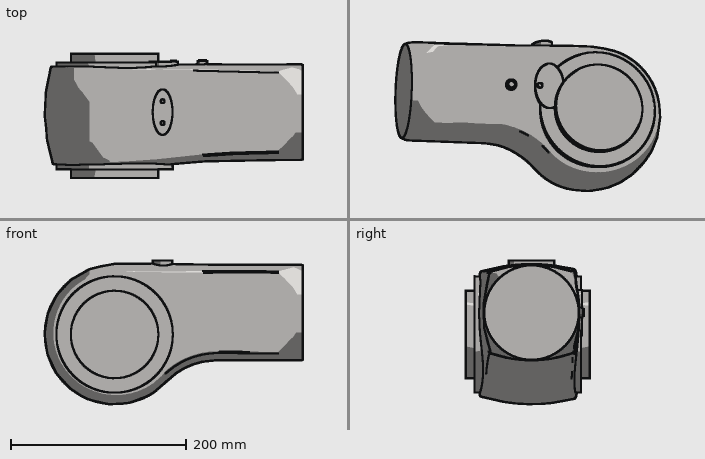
import cadquery as cq
import math

JOINT_RADIUS = 80.0
FLANGE_RADIUS = 66.5
FLANGE_HALF_LENGTH = 61.0
SPIGOT_RADIUS = 50.0
SPIGOT_HALF_LENGTH = 71.0

ARM_END_X = 215.0
ARM_AXIS_Y = 4.3
ARM_AXIS_Z = 25.0
ARM_HALF_HEIGHT = 54.6
END_RADIUS = 53.9
END_OVERRUN = 5.0
END_CONE_SLOPE = 0.41
TOP_CROWN = ((0.0, 1.2), (35.0, 1.7), (110.0, 0.3))
TOP_SEAM_X = -28.6
THROAT_RADIUS = 80.0

CROWN_HALF_WIDTH = 64.0
DRUM_CROWN_DROP = 11.0
ARM_CROWN_DROP = 15.5
CROWN_STEPS = (-1.0, -0.5, 0.0, 0.5, 1.0)

SIDE_STATIONS = (
    (-90.0, 0.0, 70.0, -55.9, 0.4, 56.5, 0.3),
    (-55.0, 0.0, 70.0, -55.9, 0.4, 56.5, 0.3),
    (-20.0, 0.0, 70.0, -55.9, 0.6, 56.6, 0.8),
    (20.0, 5.0, 66.0, -56.0, 2.2, 57.3, 3.2),
    (60.0, 18.0, 53.0, -55.6, 5.4, 58.4, 4.6),
    (100.0, 25.0, 46.0, -52.5, 6.7, 59.0, 5.8),
    (140.0, 25.0, 46.0, -50.8, 7.7, 59.0, 7.0),
    (180.0, 25.0, 46.0, -50.9, 9.0, 59.0, 8.3),
    (ARM_END_X + END_OVERRUN, 25.0, 46.0, -52.2, 9.2, 59.0, 8.6),
)
WALL_OVERREACH = 1.45
EDGE_FILLET = 2.8
SEAM_REACH = 30.0

PAD_LENGTH = 52.0
TOP_PAD_X = 54.8
TOP_PAD_WIDTH = 22.6
TOP_PAD_Z = 84.45
PAD_HOLE_DIAMETER = 4.4
PAD_HOLE_SPACING = 25.0
PAD_HOLE_DEPTH = 3.0
SIDE_PAD_X = 56.0
SIDE_PAD_WIDTH = 33.0
SIDE_PAD_Y = 62.0

BUTTONS = (
    (67.3, 2.8, 63.5),
    (100.3, 5.7, 62.5),
    (100.3, 4.0, 64.0),
)
ROOT_DEPTH = 15.0


def side_outline(y, step):
    """Closed XZ outline of drum and arm at one Y; step is 0 at the crown and +-1 at full width."""
    drum_drop = DRUM_CROWN_DROP * step ** 2
    arm_drop = ARM_CROWN_DROP * step ** 2
    drum = JOINT_RADIUS - drum_drop
    top = ARM_AXIS_Z + ARM_HALF_HEIGHT - arm_drop
    bottom = ARM_AXIS_Z - ARM_HALF_HEIGHT + arm_drop
    throat = THROAT_RADIUS + arm_drop

    throat_z = bottom - throat
    throat_x = math.sqrt((drum + throat) ** 2 - throat_z ** 2)
    touch_x = throat_x * drum / (drum + throat)
    touch_z = throat_z * drum / (drum + throat)
    touch_angle = math.atan2(touch_z, touch_x)
    throat_start = touch_angle + math.pi
    throat_mid = (throat_start + math.pi / 2) / 2

    seam_angle = math.acos(TOP_SEAM_X / drum)
    seam = (drum * math.cos(seam_angle), drum * math.sin(seam_angle))
    seam_direction = (-math.sin(seam_angle), math.cos(seam_angle))
    drum_mid = (seam_angle + touch_angle + 2 * math.pi) / 2
    crown = []
    for x, rise in reversed(TOP_CROWN):
        fade = (x - TOP_SEAM_X) / (ARM_END_X - TOP_SEAM_X)
        drop = drum_drop + (arm_drop - drum_drop) * fade
        crown.append((x, ARM_AXIS_Z + ARM_HALF_HEIGHT + rise - drop))

    return (
        cq.Workplane("XZ", origin=(0, y, 0))
        .moveTo(*seam)
        .threePointArc(
            (drum * math.cos(drum_mid), drum * math.sin(drum_mid)),
            (touch_x, touch_z),
        )
        .threePointArc(
            (throat_x + throat * math.cos(throat_mid), throat_z + throat * math.sin(throat_mid)),
            (throat_x, bottom),
        )
        .lineTo(ARM_END_X + END_OVERRUN, bottom)
        .lineTo(ARM_END_X + END_OVERRUN, top)
        .spline(
            crown + [seam],
            tangents=[(-1, 0), seam_direction],
            includeCurrent=True,
        )
        .close()
        .val()
    )


def perimeter_body():
    wires = [side_outline(ARM_AXIS_Y + s * CROWN_HALF_WIDTH, s) for s in CROWN_STEPS]
    return cq.Workplane(cq.Solid.makeLoft(wires))


def wall_section(x, mid_z, half_height, y_minus, bulge_minus, y_plus, bulge_plus):
    """Barrel-shaped YZ section whose two bulged sides are the side walls."""
    reach = half_height * WALL_OVERREACH
    edge_minus = y_minus + bulge_minus * WALL_OVERREACH ** 2
    edge_plus = y_plus - bulge_plus * WALL_OVERREACH ** 2
    return (
        cq.Workplane("YZ", origin=(x, 0, 0))
        .moveTo(edge_minus, mid_z - reach)
        .lineTo(edge_plus, mid_z - reach)
        .threePointArc((y_plus, mid_z), (edge_plus, mid_z + reach))
        .lineTo(edge_minus, mid_z + reach)
        .threePointArc((y_minus, mid_z), (edge_minus, mid_z - reach))
        .close()
        .val()
    )


def side_walls():
    return cq.Workplane(cq.Solid.makeLoft([wall_section(*s) for s in SIDE_STATIONS]))


def end_cone():
    length = ARM_END_X + 2 * JOINT_RADIUS
    cone = cq.Solid.makeCone(
        END_RADIUS + END_CONE_SLOPE * length,
        END_RADIUS,
        length,
        cq.Vector(ARM_END_X - length, ARM_AXIS_Y, ARM_AXIS_Z),
        cq.Vector(1, 0, 0),
    )
    return cq.Workplane(cone)


def soften_edges(body):
    """Round the long edges between perimeter, walls and end cone, leaving out the cross seams."""
    edges = []
    for edge in body.edges().vals():
        box = edge.BoundingBox()
        crosses_width = box.ymin < ARM_AXIS_Y - SEAM_REACH and box.ymax > ARM_AXIS_Y + SEAM_REACH
        is_seam = crosses_width and box.xmax < ARM_END_X / 2 + SEAM_REACH
        on_end_face = box.xmin > ARM_END_X - EDGE_FILLET / 2
        if not is_seam and not on_end_face:
            edges.append(edge)
    return cq.Workplane(body.val().Solids()[0].fillet(EDGE_FILLET, edges))


def drum_disc(radius, half_length):
    return cq.Workplane("XZ").circle(radius).extrude(half_length, both=True)


def top_pad():
    return (
        cq.Workplane("XY", origin=(TOP_PAD_X, ARM_AXIS_Y, TOP_PAD_Z))
        .ellipse(TOP_PAD_WIDTH / 2, PAD_LENGTH / 2)
        .extrude(-ROOT_DEPTH)
    )


def pad_holes():
    return (
        cq.Workplane("XY", origin=(TOP_PAD_X, ARM_AXIS_Y, TOP_PAD_Z))
        .pushPoints([(0, -PAD_HOLE_SPACING / 2), (0, PAD_HOLE_SPACING / 2)])
        .circle(PAD_HOLE_DIAMETER / 2)
        .extrude(-PAD_HOLE_DEPTH)
    )


def side_pad():
    return (
        cq.Workplane("XZ", origin=(SIDE_PAD_X, SIDE_PAD_Y, ARM_AXIS_Z))
        .ellipse(SIDE_PAD_WIDTH / 2, PAD_LENGTH / 2)
        .extrude(ROOT_DEPTH)
    )


def button(x, radius, outer_y):
    return cq.Workplane("XZ", origin=(x, outer_y, ARM_AXIS_Z)).circle(radius).extrude(ROOT_DEPTH)


body = perimeter_body().intersect(side_walls().intersect(end_cone()))
body = soften_edges(body)

discs = drum_disc(FLANGE_RADIUS, FLANGE_HALF_LENGTH).union(drum_disc(SPIGOT_RADIUS, SPIGOT_HALF_LENGTH))
result = body.union(discs).union(top_pad()).cut(pad_holes()).union(side_pad())
for button_size in BUTTONS:
    result = result.union(button(*button_size))